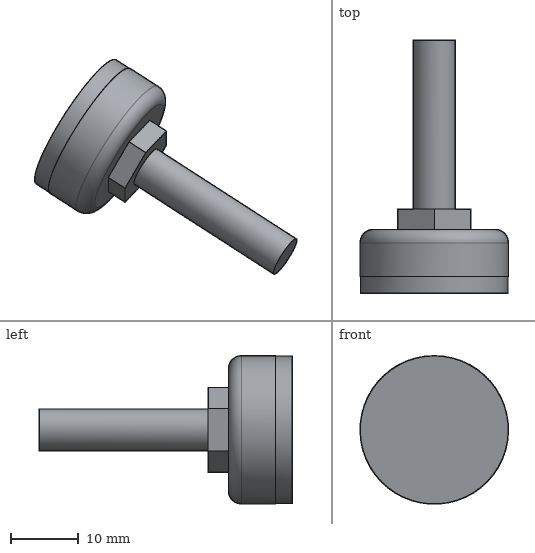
import cadquery as cq

total_length = 37.5
body_diameter = 22.0
pad_diameter = 21.9
pad_thickness = 2.5
foot_height = 9.5
shoulder_radius = 2.0
nut_corner_width = 12.55
nut_thickness = 3.0
stem_diameter = 6.22

nut_end = foot_height + nut_thickness


def plane_at(y):
    """Plane normal to +Y at distance y, with its local X along global Z."""
    return cq.Workplane(cq.Plane(origin=(0, y, 0), xDir=(0, 0, 1), normal=(0, 1, 0)))


pad = plane_at(0).circle(pad_diameter / 2).extrude(pad_thickness)

body = (
    plane_at(pad_thickness)
    .circle(body_diameter / 2)
    .extrude(foot_height - pad_thickness)
    .faces(">Y")
    .edges()
    .fillet(shoulder_radius)
)

nut = plane_at(foot_height).polygon(6, nut_corner_width).extrude(nut_thickness)

stem = plane_at(nut_end).circle(stem_diameter / 2).extrude(total_length - nut_end)

result = pad.union(body).union(nut).union(stem)